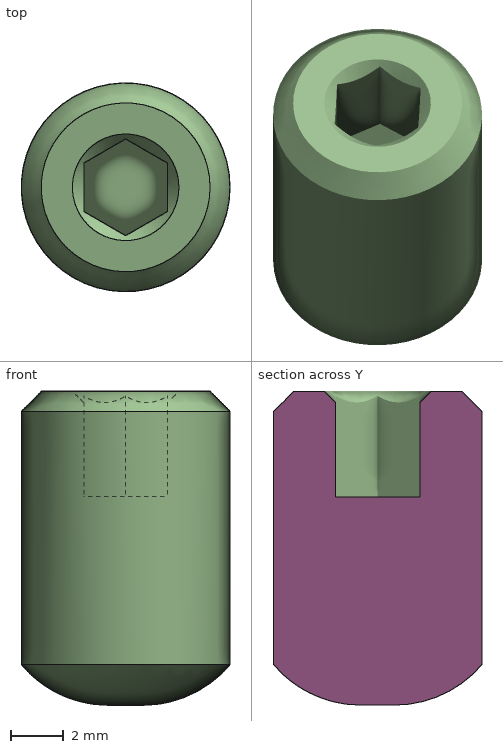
import cadquery as cq
import math

BODY_DIAMETER = 7.92
LENGTH = 11.91
TOP_CHAMFER = 0.76
TIP_FLAT_RADIUS = 0.63
POINT_RADIUS = 4.37

HEX_ACROSS_FLATS = 3.175
SOCKET_DEPTH = 4.0
COUNTERSINK_DIAMETER = 4.04
COUNTERSINK_ANGLE = 90.0


def make_body():
    """Revolve the half profile: rounded point, cylinder and chamfered top."""
    body_radius = BODY_DIAMETER / 2
    arc_angle = math.asin((body_radius - TIP_FLAT_RADIUS) / POINT_RADIUS)

    def point_on_arc(angle):
        """Point of the rounded end at an angle measured from the tip flat."""
        r = TIP_FLAT_RADIUS + POINT_RADIUS * math.sin(angle)
        z = POINT_RADIUS * (1 - math.cos(angle))
        return r, z

    return (
        cq.Workplane("XZ")
        .lineTo(TIP_FLAT_RADIUS, 0)
        .threePointArc(point_on_arc(arc_angle / 2), point_on_arc(arc_angle))
        .lineTo(body_radius, LENGTH - TOP_CHAMFER)
        .lineTo(body_radius - TOP_CHAMFER, LENGTH)
        .lineTo(0, LENGTH)
        .close()
        .revolve(360, (0, 0, 0), (0, 1, 0))
    )


def make_hex_socket():
    """Hexagonal prism with two of its corners in the YZ plane."""
    across_corners = HEX_ACROSS_FLATS / math.cos(math.pi / 6)
    return (
        cq.Workplane("XY", origin=(0, 0, LENGTH))
        .transformed(rotate=(0, 0, 90))
        .polygon(6, across_corners)
        .extrude(-SOCKET_DEPTH)
    )


def make_countersink():
    """Cone that opens the mouth of the socket, with its tip on the axis."""
    radius = COUNTERSINK_DIAMETER / 2
    depth = radius / math.tan(math.radians(COUNTERSINK_ANGLE / 2))
    return (
        cq.Workplane("XZ")
        .moveTo(0, LENGTH - depth)
        .lineTo(radius, LENGTH)
        .lineTo(0, LENGTH)
        .close()
        .revolve(360, (0, 0, 0), (0, 1, 0))
    )


result = make_body().cut(make_hex_socket()).cut(make_countersink())